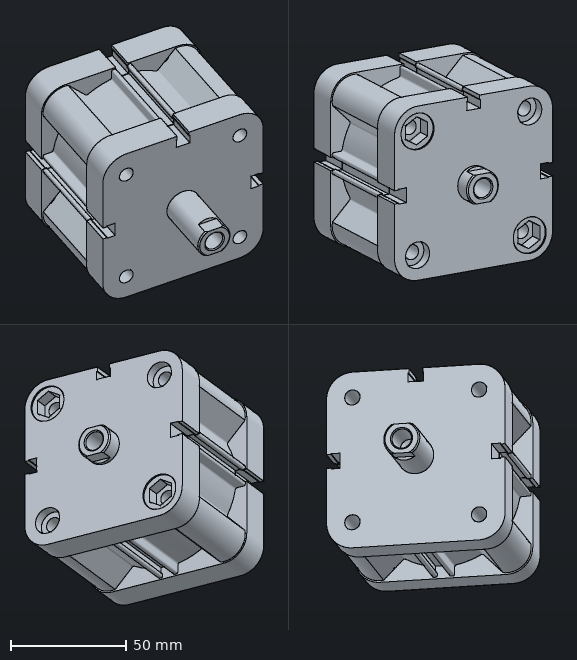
import cadquery as cq
import math


cap_side = 79.5
cap_corner_radius = 11.7
cap_length = 14.6
barrel_length = 40.4
housing_length = 2 * cap_length + barrel_length
barrel_half_side = 39.0
barrel_tube_radius = 34.5
barrel_root_fillet = 1.1

corner_offset = 28.2
post_radius = barrel_half_side - corner_offset
post_width = 17.4

cap_opening_width = 6.0
cap_lip_depth = 2.1
cap_cavity_width = 6.8
cap_slot_floor = 33.7
barrel_opening_width = 5.4
barrel_lip_depth = 1.7
barrel_cavity_width = 7.0
barrel_slot_floor = 34.0
rail_width = 10.0
rail_edge_fillet = 0.8
cap_slot_angles = (0, 90, -90)
barrel_side_angles = (0, 90, 180, 270)

through_hole_diameter = 6.8
counterbore_diameter = 12.1
counterbore_depth = 5.0

screw_corners = ((corner_offset, corner_offset), (-corner_offset, -corner_offset))
counterbore_corners = ((-corner_offset, corner_offset), (corner_offset, -corner_offset))
screw_diameter = 16.5
screw_recess = 0.8
screw_length = cap_length - screw_recess
hex_across_flats = 11.0
hex_depth = 6.1

rod_length = 106.0
rod_overhang = 8.2
rod_diameter = 16.0
rod_chamfer = 0.6
wrench_flat_size = 13.2
wrench_flat_length = 6.3
wrench_shoulder_lean = 0.3
rod_hole_diameter = 8.7
rod_hole_depth = 17.0
rod_hole_mouth_diameter = 9.8
drill_point_angle = 118.0

position_tolerance = 0.01


def section(x):
    """Workplane across the rod axis at the given X; its local axes are Y and Z."""
    return cq.Workplane("YZ", origin=(x, 0, 0))


def bar(x, length, width, bottom, top):
    """Block along X, centred on Y, reaching from bottom to top in Z."""
    return section(x).center(0, (bottom + top) / 2).rect(width, top - bottom).extrude(length)


def turned(body, angle):
    return body.rotate((0, 0, 0), (1, 0, 0), angle)


def edges_along_x(body, is_wanted):
    """Edges of the body that run along X and whose (y, z) position is wanted."""
    centers = [(edge, edge.Center()) for edge in body.edges("|X").vals()]
    return body.newObject([edge for edge, center in centers if is_wanted(center.y, center.z)])


def make_t_slot(x, length, top, opening_width, lip_depth, cavity_width, floor):
    opening = bar(x, length, opening_width, floor, top)
    cavity = bar(x, length, cavity_width, floor, top - lip_depth)
    return opening.union(cavity)


def make_end_cap(x):
    cap = section(x).rect(cap_side, cap_side).extrude(cap_length).edges("|X").fillet(cap_corner_radius)
    slot = make_t_slot(
        x, cap_length, cap_side / 2, cap_opening_width, cap_lip_depth, cap_cavity_width, cap_slot_floor
    )
    for angle in cap_slot_angles:
        cap = cap.cut(turned(slot, angle))
    return cap


def make_corner_post():
    """Post reaching out along +Z, before it is turned to a corner."""
    axis_distance = corner_offset * math.sqrt(2)
    web = bar(cap_length, barrel_length, post_width, 0, axis_distance)
    round_end = section(cap_length).center(0, axis_distance).circle(post_radius).extrude(barrel_length)
    end_limit = bar(cap_length, barrel_length, post_width, axis_distance, axis_distance + post_radius)
    return web.union(round_end.intersect(end_limit))


def make_barrel():
    barrel = section(cap_length).circle(barrel_tube_radius).extrude(barrel_length)
    post = make_corner_post()
    rail = bar(cap_length, barrel_length, rail_width, 0, barrel_half_side)
    for angle in barrel_side_angles:
        barrel = barrel.union(turned(post, angle + 45)).union(turned(rail, angle))

    def is_root(y, z):
        return abs(math.hypot(y, z) - barrel_tube_radius) < position_tolerance

    barrel = edges_along_x(barrel, is_root).fillet(barrel_root_fillet)

    slot = make_t_slot(
        cap_length, barrel_length, barrel_half_side,
        barrel_opening_width, barrel_lip_depth, barrel_cavity_width, barrel_slot_floor,
    )
    for angle in barrel_side_angles:
        barrel = barrel.cut(turned(slot, angle))

    def is_rail_tip(y, z):
        across, outward = sorted((abs(y), abs(z)))
        is_on_rail = across < rail_width / 2 + position_tolerance
        return is_on_rail and abs(outward - barrel_half_side) < position_tolerance

    return edges_along_x(barrel, is_rail_tip).fillet(rail_edge_fillet)


def make_housing():
    far_cap_x = cap_length + barrel_length
    housing = make_end_cap(0).union(make_barrel()).union(make_end_cap(far_cap_x))
    rod_bore = section(0).circle(rod_diameter / 2).extrude(housing_length)
    through_holes = (
        section(0)
        .pushPoints(screw_corners + counterbore_corners)
        .circle(through_hole_diameter / 2)
        .extrude(housing_length)
    )
    counterbores = (
        section(0).pushPoints(counterbore_corners).circle(counterbore_diameter / 2).extrude(counterbore_depth)
    )
    screw_bores = (
        section(0).pushPoints(screw_corners).circle(screw_diameter / 2).extrude(screw_recess + screw_length)
    )
    return housing.cut(rod_bore).cut(through_holes).cut(counterbores).cut(screw_bores)


def make_screw(y, z):
    """Hollow screw with a hexagon socket that has corners at the top and bottom."""
    plane = section(screw_recess).center(y, z)
    hex_corner_diameter = hex_across_flats / math.cos(math.pi / 6)
    socket = plane.transformed(rotate=(0, 0, 90)).polygon(6, hex_corner_diameter).extrude(hex_depth)
    hole = plane.circle(through_hole_diameter / 2).extrude(screw_length)
    return plane.circle(screw_diameter / 2).extrude(screw_length).cut(socket).cut(hole)


def make_rod_hole():
    """Drilled hole in the -X end of the rod, with a chamfered mouth and a conical bottom."""
    hole_radius = rod_hole_diameter / 2
    mouth_radius = rod_hole_mouth_diameter / 2
    point_length = hole_radius / math.tan(math.radians(drill_point_angle / 2))
    return (
        cq.Workplane("XY", origin=(-rod_overhang, 0, 0))
        .moveTo(0, 0)
        .lineTo(0, mouth_radius)
        .lineTo(mouth_radius - hole_radius, hole_radius)
        .lineTo(rod_hole_depth, hole_radius)
        .lineTo(rod_hole_depth + point_length, 0)
        .close()
        .revolve(360, (0, 0, 0), (1, 0, 0))
    )


def make_flat_cut():
    """Cut for the upper wrench flat at the -X end, up to a slightly leaning shoulder."""
    shoulder_x = wrench_flat_length - rod_overhang
    flat_z = wrench_flat_size / 2
    rod_top = rod_diameter / 2
    return (
        cq.Workplane("XZ")
        .moveTo(-rod_overhang, flat_z)
        .lineTo(shoulder_x, flat_z)
        .lineTo(shoulder_x + wrench_shoulder_lean, rod_top)
        .lineTo(-rod_overhang, rod_top)
        .close()
        .extrude(rod_top, both=True)
    )


def make_rod():
    rod = section(-rod_overhang).circle(rod_diameter / 2).extrude(rod_length)
    rod = rod.faces("<X or >X").chamfer(rod_chamfer)
    middle_x = rod_length / 2 - rod_overhang
    flat_cut = make_flat_cut()
    end_cuts = flat_cut.union(flat_cut.mirror("XY")).union(make_rod_hole())
    far_end_cuts = end_cuts.mirror("YZ", (middle_x, 0, 0))
    return rod.cut(end_cuts).cut(far_end_cuts)


housing = make_housing()
piston_rod = make_rod()
screws = [make_screw(y, z) for y, z in screw_corners]

result = cq.Compound.makeCompound([housing.val(), piston_rod.val(), *(screw.val() for screw in screws)])